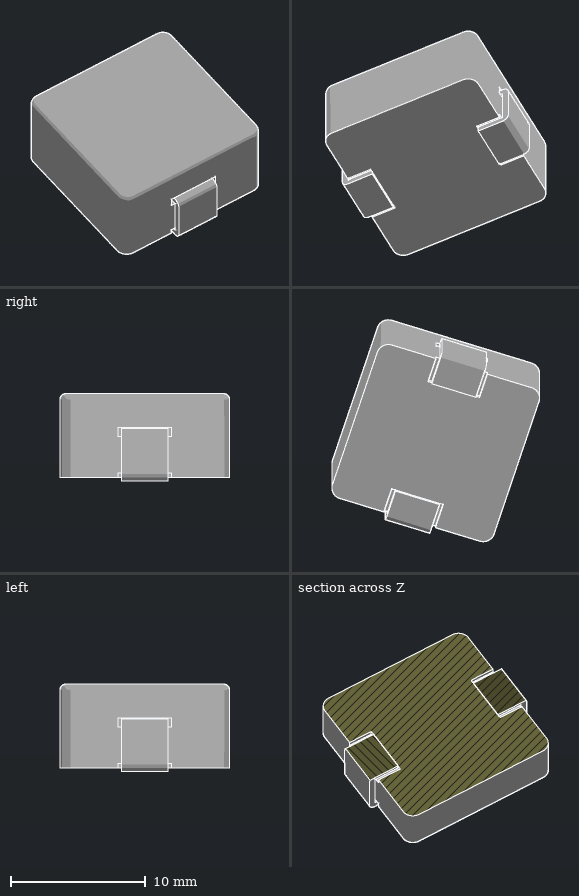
import cadquery as cq

OVERALL_LENGTH = 13.8
BODY_SIDE = 12.6
OVERALL_HEIGHT = 6.5

STANDOFF = 0.25
CORNER_RADIUS = 0.85
TOP_FILLET = 0.47

STRIP_THICKNESS = 0.5
STRIP_WIDTH = 3.45
TERMINAL_HEIGHT = 3.9
ARM_LENGTH = 2.5
BEND_RADIUS = STRIP_THICKNESS

SIDE_CLEARANCE = 0.28
ABOVE_CLEARANCE = 0.05
BELOW_CLEARANCE = 0.11
FOOT_CLEARANCE = 0.11

OUTER_X = OVERALL_LENGTH / 2
ARM_END_X = OUTER_X - ARM_LENGTH
UPPER_ARM_BOTTOM = TERMINAL_HEIGHT - STRIP_THICKNESS
POCKET_WIDTH = STRIP_WIDTH + 2 * SIDE_CLEARANCE


def make_block(side, width, x_inner, x_outer, z_bottom, z_top):
    """Box centred on Y, between two distances from the centre on one side of X (-1 or +1)."""
    return (
        cq.Workplane("XY")
        .box(x_outer - x_inner, width, z_top - z_bottom)
        .translate((side * (x_inner + x_outer) / 2, 0, (z_bottom + z_top) / 2))
    )


def make_terminal(side):
    """Strip bent into a C that opens toward the body, with rounded outer bends."""
    strip = make_block(side, STRIP_WIDTH, ARM_END_X, OUTER_X, 0, TERMINAL_HEIGHT)
    outer_face = "<X" if side < 0 else ">X"
    strip = strip.faces(outer_face).edges("|Y").fillet(BEND_RADIUS)
    opening = make_block(
        side,
        STRIP_WIDTH,
        ARM_END_X,
        OUTER_X - STRIP_THICKNESS,
        STRIP_THICKNESS,
        UPPER_ARM_BOTTOM,
    )
    return strip.cut(opening)


def cut_pockets(body, side):
    """Cut the slot for the upper arm and the recess for the lower arm on one side."""
    upper_slot = make_block(
        side,
        POCKET_WIDTH,
        ARM_END_X,
        OUTER_X,
        UPPER_ARM_BOTTOM - BELOW_CLEARANCE,
        TERMINAL_HEIGHT + ABOVE_CLEARANCE,
    )
    foot_recess = make_block(
        side,
        POCKET_WIDTH,
        ARM_END_X,
        OUTER_X,
        0,
        STRIP_THICKNESS + FOOT_CLEARANCE,
    )
    return body.cut(upper_slot).cut(foot_recess)


def make_body():
    """Square moulded block with rounded corners and top edges, pocketed for both terminals."""
    body = (
        cq.Workplane("XY")
        .workplane(offset=STANDOFF)
        .rect(BODY_SIDE, BODY_SIDE)
        .extrude(OVERALL_HEIGHT - STANDOFF)
        .edges("|Z")
        .fillet(CORNER_RADIUS)
        .faces(">Z")
        .edges()
        .fillet(TOP_FILLET)
    )
    for side in (-1, 1):
        body = cut_pockets(body, side)
    return body


body = make_body()
terminals = [make_terminal(side) for side in (-1, 1)]

result = cq.Compound.makeCompound([body.val(), *[terminal.val() for terminal in terminals]])